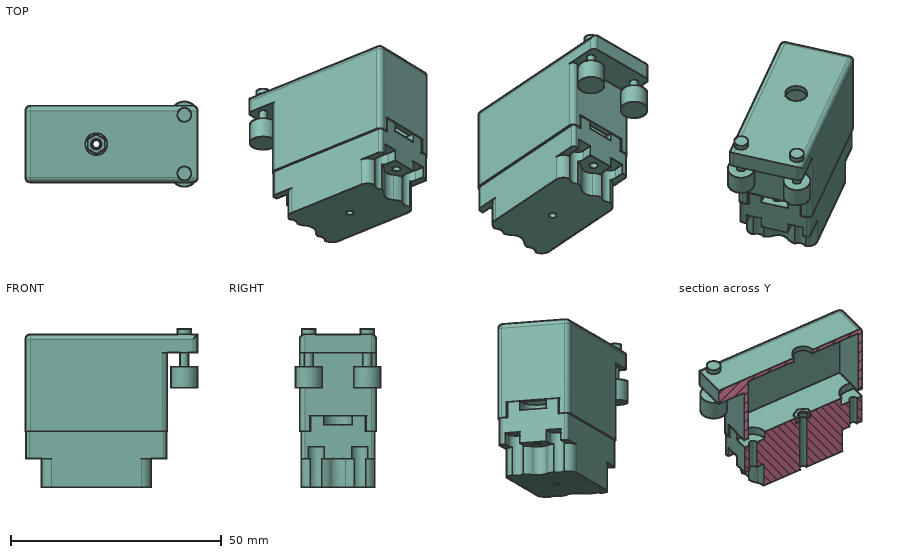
import cadquery as cq
import math


FLANGE_BOTTOM = 6.81
HOOD_BOTTOM = 13.28
TONGUE_TOP = 17.0
EAR_BOTTOM = 31.93
HOOD_TOP = 36.24
OVERALL_HEIGHT = 37.52

HOOD_LENGTH = 33.65
HOOD_WIDTH = 18.2
OVERALL_LENGTH = 40.87
HOOD_RADIUS = 1.2
HOOD_WALL = 1.3
ACCESS_HOLE_DIAMETER = 5.2
NOTCH_WIDTH = 13.4
HOOD_END = HOOD_LENGTH / 2
CAVITY_LENGTH = HOOD_LENGTH - 2 * HOOD_WALL
CAVITY_WIDTH = HOOD_WIDTH - 2 * HOOD_WALL
EAR_END = OVERALL_LENGTH - HOOD_END

KNOB_DIAMETER = 6.35
KNOB_BOTTOM = 23.57
KNOB_HEIGHT = 5.0
SHANK_DIAMETER = 2.06
BUTTON_DIAMETER = 3.3
OVERALL_WIDTH = 20.24
SCREW_X = EAR_END - KNOB_DIAMETER / 2
SCREW_Y = (OVERALL_WIDTH - KNOB_DIAMETER) / 2

BASE_SETBACK = 0.15
BASE_LENGTH = HOOD_LENGTH - 2 * BASE_SETBACK
BASE_WIDTH = 17.45
BASE_RADIUS = 0.8
BASE_END = BASE_LENGTH / 2
TONGUE_CLEARANCE = 0.3
TONGUE_WIDTH = NOTCH_WIDTH - 2 * TONGUE_CLEARANCE
HOLE_ROW_INSET = 2.4
HOLE_ROW_X = BASE_END - HOLE_ROW_INSET

RECESS_WIDTH = 6.65
RECESS_FLOOR = 14.8
MOUNTING_HOLE_DIAMETER = 2.0

SLOT_WIDTH = 3.75
SLOT_TOP = 9.55
SLOT_Y = 5.17

BLOCK_LENGTH = 26.0
BLOCK_CORNER_RADIUS = 2.37
HOLLOW_RADIUS = 2.62
SHOULDER_RADIUS = 4.2
BLEND_ANGLE = math.radians(42)

NUT_ACROSS_FLATS = 4.0
NUT_SEAT_ACROSS_FLATS = 4.1
NUT_HEIGHT = 1.6
NUT_BORE_DIAMETER = 2.0
NUT_COUNTERSINK_DIAMETER = 2.55
NUT_COUNTERSINK_ANGLE = 90
BORE_DIAMETER = 1.8
HEX_SIDES = 6
HEX_TURN = 180 / HEX_SIDES

ENDS = (-1, 1)
SIDES = (-1, 1)


def box(length, width, bottom, top, x=0):
    """Upright block centred on (x, 0)."""
    return cq.Workplane("XY", origin=(x, 0, bottom)).rect(length, width).extrude(top - bottom)


def cylinder(diameter, bottom, top, x=0, y=0):
    """Upright cylinder."""
    return cq.Workplane("XY", origin=(x, y, bottom)).circle(diameter / 2).extrude(top - bottom)


def end_slot(end, width, center_x, y, bottom, top):
    """Cutter for a slot running in from one end of the base to a half-round end."""
    run = BASE_END - center_x
    straight = cq.Workplane("XY", origin=(end * (center_x + run / 2), y, bottom)).rect(run, width)
    return straight.extrude(top - bottom).union(cylinder(width, bottom, top, end * center_x, y))


def hollow_cutter(end):
    """Cutter for the S-sided hollow in the middle of one end of the plug block."""
    block_end = BLOCK_LENGTH / 2
    sine = math.sin(BLEND_ANGLE)
    cosine = math.cos(BLEND_ANGLE)
    blend_y = HOLLOW_RADIUS * sine
    blend_x = block_end - SHOULDER_RADIUS * (1 - cosine)
    bottom_x = blend_x - HOLLOW_RADIUS * (1 - cosine)
    lip_y = blend_y + SHOULDER_RADIUS * sine
    half_sine = math.sin(BLEND_ANGLE / 2)
    half_cosine = math.cos(BLEND_ANGLE / 2)
    shoulder_y = lip_y - SHOULDER_RADIUS * half_sine
    shoulder_x = block_end - SHOULDER_RADIUS * (1 - half_cosine)
    return (
        cq.Workplane("XY")
        .moveTo(end * block_end, -lip_y)
        .threePointArc((end * shoulder_x, -shoulder_y), (end * blend_x, -blend_y))
        .threePointArc((end * bottom_x, 0), (end * blend_x, blend_y))
        .threePointArc((end * shoulder_x, shoulder_y), (end * block_end, lip_y))
        .close()
        .extrude(FLANGE_BOTTOM)
    )


def hexagon(across_flats, bottom, top):
    """Hex prism on the Z axis with two corners on the Y axis."""
    across_corners = across_flats / math.cos(math.pi / HEX_SIDES)
    outline = cq.Workplane("XY", origin=(0, 0, bottom)).polygon(HEX_SIDES, across_corners)
    prism = outline.extrude(top - bottom)
    return prism.rotate((0, 0, 0), (0, 0, 1), HEX_TURN)


def make_hood():
    """Hollow hood with an ear that carries the thumbscrews."""
    ear_center = (EAR_END - HOOD_END) / 2
    hood = box(OVERALL_LENGTH, HOOD_WIDTH, EAR_BOTTOM, HOOD_TOP, ear_center)
    hood = hood.edges("|Z or (>Z and (not >X))").fillet(HOOD_RADIUS)
    shell = box(HOOD_LENGTH, HOOD_WIDTH, HOOD_BOTTOM, HOOD_TOP - HOOD_RADIUS)
    hood = hood.union(shell.edges("|Z").fillet(HOOD_RADIUS))

    hood = hood.cut(box(CAVITY_LENGTH, CAVITY_WIDTH, HOOD_BOTTOM, HOOD_TOP - HOOD_WALL))
    hood = hood.cut(cylinder(ACCESS_HOLE_DIAMETER, HOOD_BOTTOM, HOOD_TOP))

    hood = hood.cut(box(HOOD_LENGTH, NOTCH_WIDTH, HOOD_BOTTOM, TONGUE_TOP))

    for side in SIDES:
        y = side * SCREW_Y
        hood = hood.union(cylinder(BUTTON_DIAMETER, HOOD_TOP, OVERALL_HEIGHT, SCREW_X, y))
        hood = hood.union(cylinder(SHANK_DIAMETER, KNOB_BOTTOM, EAR_BOTTOM, SCREW_X, y))
        hood = hood.union(cylinder(KNOB_DIAMETER, KNOB_BOTTOM, KNOB_BOTTOM + KNOB_HEIGHT, SCREW_X, y))
    return hood


def make_base():
    """Flange with the plug block below and a spigot that fills the mouth of the hood."""
    flange = box(BASE_LENGTH, BASE_WIDTH, FLANGE_BOTTOM, HOOD_BOTTOM).edges("|Z").fillet(BASE_RADIUS)
    block = box(BLOCK_LENGTH, BASE_WIDTH, 0, FLANGE_BOTTOM).edges("|Z").fillet(BLOCK_CORNER_RADIUS)
    for end in ENDS:
        block = block.cut(hollow_cutter(end))

    spigot = box(CAVITY_LENGTH, CAVITY_WIDTH, HOOD_BOTTOM, TONGUE_TOP)
    tongues = box(BASE_LENGTH, TONGUE_WIDTH, HOOD_BOTTOM, TONGUE_TOP)
    base = flange.union(block).union(spigot).union(tongues)

    for end in ENDS:
        base = base.cut(end_slot(end, RECESS_WIDTH, HOLE_ROW_X, 0, RECESS_FLOOR, TONGUE_TOP))
        base = base.cut(cylinder(MOUNTING_HOLE_DIAMETER, FLANGE_BOTTOM, RECESS_FLOOR, end * HOLE_ROW_X))
        for side in SIDES:
            base = base.cut(end_slot(end, SLOT_WIDTH, HOLE_ROW_X, side * SLOT_Y, 0, SLOT_TOP))

    base = base.cut(hexagon(NUT_SEAT_ACROSS_FLATS, TONGUE_TOP - NUT_HEIGHT, TONGUE_TOP))
    return base.cut(cylinder(BORE_DIAMETER, 0, TONGUE_TOP))


def make_nut():
    """Hex nut with a countersunk bore, flush with the top of the base."""
    nut = hexagon(NUT_ACROSS_FLATS, TONGUE_TOP - NUT_HEIGHT, TONGUE_TOP)
    top_face = nut.faces(">Z").workplane()
    return top_face.cskHole(NUT_BORE_DIAMETER, NUT_COUNTERSINK_DIAMETER, NUT_COUNTERSINK_ANGLE)


hood = make_hood()
base = make_base()
nut = make_nut()

result = cq.Compound.makeCompound([hood.solids().val(), base.solids().val(), nut.solids().val()])